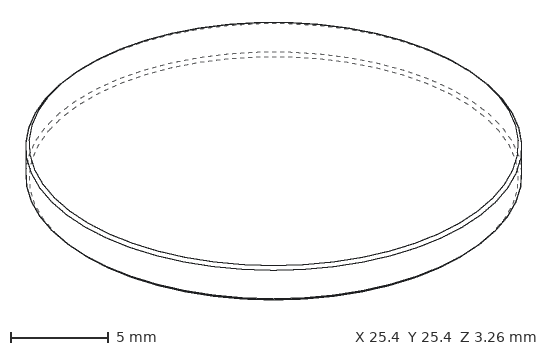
import cadquery as cq
import math

diameter = 25.4
center_thickness = 3.26
sphere_radius = 64.4
bevel_face_width = 0.25

radius = diameter / 2
bevel = bevel_face_width / math.sqrt(2)
sphere_center_height = center_thickness - sphere_radius


def dome_point(distance):
    """Point of the spherical face at a given distance from the axis."""
    height = sphere_center_height + math.sqrt(sphere_radius**2 - distance**2)
    return (distance, height)


def make_lens():
    """Half section in the XZ plane, spun about the Z axis."""
    rim_radius = radius - bevel
    rim_height = dome_point(rim_radius)[1]
    crown = dome_point(0)
    return (
        cq.Workplane("XZ")
        .moveTo(0, 0)
        .lineTo(rim_radius, 0)
        .lineTo(radius, bevel)
        .lineTo(radius, rim_height - bevel)
        .lineTo(rim_radius, rim_height)
        .threePointArc(dome_point(rim_radius / 2), crown)
        .close()
        .revolve(360, (0, 0, 0), (0, 1, 0))
    )


result = make_lens()